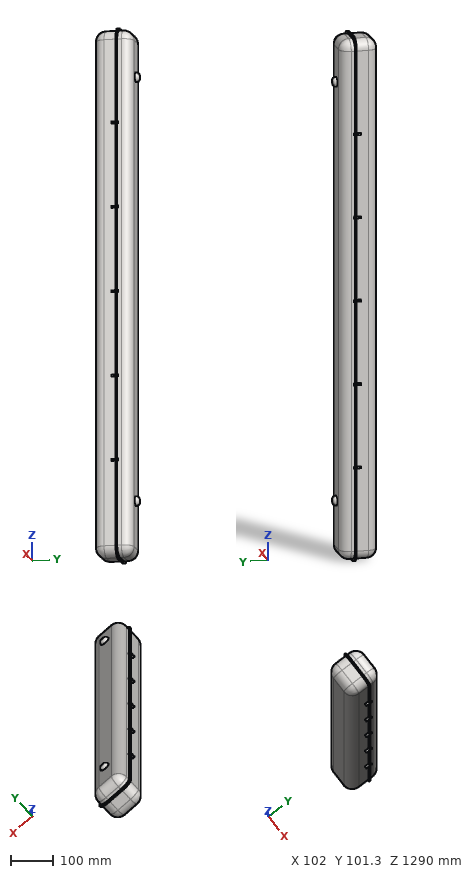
import cadquery as cq

flange_length = 1290.0
flange_width = 98.0
flange_thickness = 4.0
side_overhang = 4.0
end_overhang = 5.0
shell_length = flange_length - 2 * end_overhang
shell_width = flange_width - 2 * side_overhang
corner_radius = 25.0
edge_radius = 24.9

base_depth = 38.0
cover_depth = 54.0

knob_radius = 12.0
knob_height = 9.29
knob_edge_radius = 8.5
knob_spacing = 1030.0
knob_offset = 14.5

latch_span = 102.0
latch_count = 5
latch_pitch = 205.0
latch_offset = 1.2
latch_height = 4.0
latch_back = 8.0
latch_slope = 3.0
latch_front = 10.0


def rounded_block(width, length, y_start, y_end, radius):
    """Plate standing in the XZ plane, from y_start to y_end, with rounded corners."""
    return (
        cq.Workplane("XZ", origin=(0, y_end, 0))
        .rect(width, length)
        .extrude(y_end - y_start)
        .edges("|Y")
        .fillet(radius)
    )


def make_knob(z):
    """Round knob with a rounded rim, standing on the back face of the base."""
    return (
        cq.Workplane("XZ", origin=(0, base_depth + knob_height, z))
        .circle(knob_radius)
        .extrude(knob_height)
        .faces(">Y")
        .edges()
        .fillet(knob_edge_radius)
    )


def make_latch(side, z):
    """Latch bar across the flange edge, with a slanted lip at its back end."""
    outer = side * latch_span / 2
    inner = side * shell_width / 2
    return (
        cq.Workplane("XY", origin=(0, 0, z - latch_height / 2))
        .moveTo(inner, -latch_front)
        .lineTo(outer, -latch_front)
        .lineTo(outer, latch_back)
        .lineTo(inner, latch_back - latch_slope)
        .close()
        .extrude(latch_height)
    )


def make_base():
    """Back shell with the surrounding flange, mounting knobs and side latches."""
    base = rounded_block(shell_width, shell_length, 0, base_depth, corner_radius)
    base = base.faces(">Y").edges().fillet(edge_radius)
    base = base.union(rounded_block(flange_width, flange_length, 0, flange_thickness, corner_radius))
    for end in (-1, 1):
        base = base.union(make_knob(knob_offset + end * knob_spacing / 2))
    for index in range(latch_count):
        z = latch_offset + (index - (latch_count - 1) / 2) * latch_pitch
        for side in (-1, 1):
            base = base.union(make_latch(side, z))
    return base


def make_cover():
    """Front shell, closed against the flat front face of the base."""
    cover = rounded_block(shell_width, shell_length, -cover_depth, 0, corner_radius)
    return cover.faces("<Y").edges().fillet(edge_radius)


base = make_base()
cover = make_cover()
result = cq.Compound.makeCompound([base.val(), cover.val()])